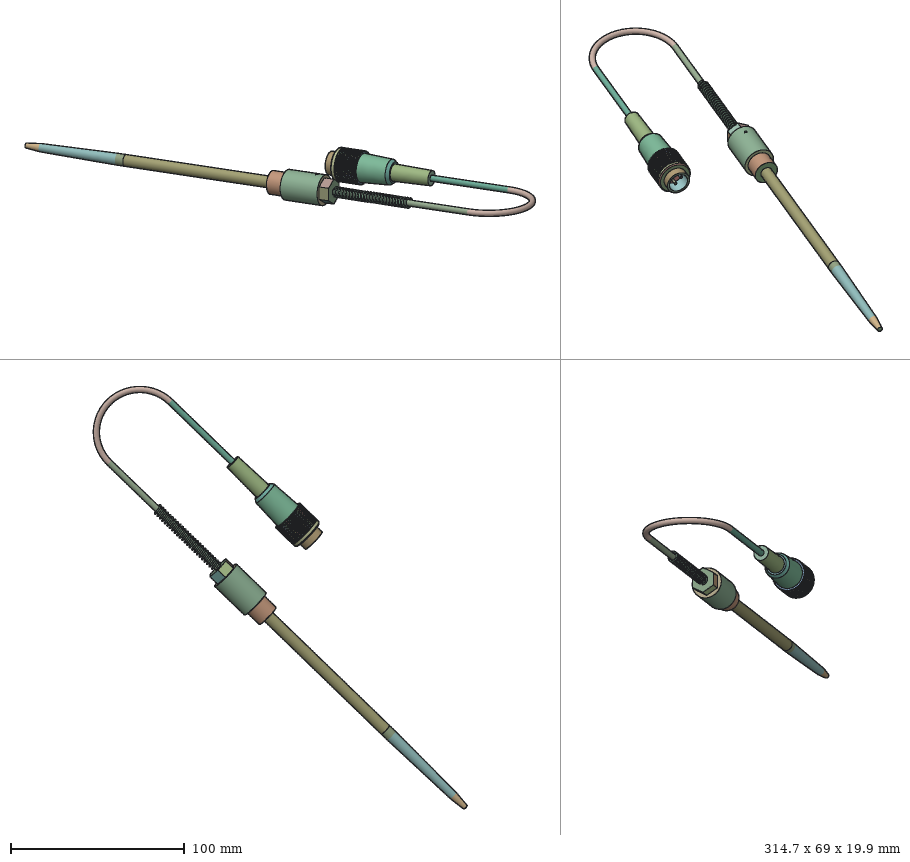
import cadquery as cq
import math


shaft_dia = 7.0
tip_end_dia = 3.0
tip_step_dia = 5.0
dome_height = 0.4
tip_step_x = 10.0
taper_end_x = 60.0
shaft_start_x = 65.0

handle_start_x = 160.0
handle_shoulder_x = 170.0
handle_end_x = 194.0
handle_nose_dia = 14.0
handle_dia = 18.0
shaft_socket_depth = handle_shoulder_x - handle_start_x
set_hole_dia = 1.5
set_hole_depth = 2.0
set_hole_x = 189.0
gland_end_x = 200.2
gland_across_flats = 13.0

spring_dia = 6.3
wire_dia = 1.0
spring_length = 50.0
spring_pitch = 2.0

cable_dia = 3.7
bend_radius = 25.0
overall_length = 314.66
bend_start_x = overall_length - bend_radius - cable_dia / 2
plug_axis_y = 2 * bend_radius

plug_start_x = 172.0
plug_nose_dia = 14.0
plug_bore_dia = 11.4
plug_bore_depth = 8.0
plug_rear_dia = 17.1
plug_taper_dia = 15.2
plug_taper_end_x = 211.3
plug_end_x = 213.3
plug_end_dia = 12.4
contact_count = 4
contact_dia = 1.5
contact_circle_dia = 7.0
contact_length = 4.0

ring_start_x = 176.8
ring_chamfer = 0.7
ring_end_x = 193.0
ring_dia = 19.9
ring_face_dia = ring_dia - 2 * ring_chamfer
knurl_start_x = 179.4
knurl_count = 60
knurl_depth = 0.4

boot_end_x = 237.5
boot_start_dia = 10.2
boot_end_dia = 9.0


def turned(profile, axis_y=0.0):
    """Solid turned about an axis parallel to X, from a list of (x, diameter) stations."""
    outline = [(profile[0][0], 0.0)]
    outline += [(x, dia / 2) for x, dia in profile]
    outline += [(profile[-1][0], 0.0)]
    body = cq.Workplane("XY").polyline(outline).close().revolve(360, (0, 0, 0), (1, 0, 0))
    return body.translate((0, axis_y, 0))


def rod(start_x, end_x, dia, axis_y=0.0):
    """Plain cylinder along X."""
    return turned([(start_x, dia), (end_x, dia)], axis_y)


def make_tip():
    """Slender tapered tip with a shallow domed end."""
    dome_radius = ((tip_end_dia / 2) ** 2 + dome_height**2) / (2 * dome_height)
    half_angle = math.asin(tip_end_dia / 2 / dome_radius) / 2
    dome_mid = (dome_radius * (1 - math.cos(half_angle)), dome_radius * math.sin(half_angle))
    return (
        cq.Workplane("XY")
        .moveTo(0, 0)
        .threePointArc(dome_mid, (dome_height, tip_end_dia / 2))
        .lineTo(tip_step_x, tip_step_dia / 2)
        .lineTo(taper_end_x, shaft_dia / 2)
        .lineTo(shaft_start_x, shaft_dia / 2)
        .lineTo(shaft_start_x, 0)
        .close()
        .revolve(360, (0, 0, 0), (1, 0, 0))
    )


def make_shaft():
    """Straight probe shaft, seated in the handle socket."""
    return rod(shaft_start_x, handle_start_x + shaft_socket_depth, shaft_dia)


def make_handle():
    """Stepped handle with a socket for the shaft and a small radial hole on top."""
    handle = turned([
        (handle_start_x, handle_nose_dia),
        (handle_shoulder_x, handle_nose_dia),
        (handle_shoulder_x, handle_dia),
        (handle_end_x, handle_dia),
    ])
    socket = rod(handle_start_x, handle_start_x + shaft_socket_depth, shaft_dia)
    set_hole = (
        cq.Workplane("XY", origin=(set_hole_x, 0, handle_dia / 2 - set_hole_depth))
        .circle(set_hole_dia / 2)
        .extrude(set_hole_depth)
    )
    return handle.cut(socket).cut(set_hole)


def make_gland():
    """Hex gland with corners at top and bottom, bored for the cable."""
    corner_dia = gland_across_flats / math.cos(math.pi / 6)
    gland = (
        cq.Workplane("YZ", origin=(handle_end_x, 0, 0))
        .transformed(rotate=(0, 0, 90))
        .polygon(6, corner_dia)
        .extrude(gland_end_x - handle_end_x)
    )
    return gland.cut(rod(handle_end_x, gland_end_x, cable_dia))


def make_spring():
    """Open coil spring around the cable, from the gland face."""
    coil_radius = (spring_dia - wire_dia) / 2
    coil_length = spring_length - wire_dia
    path = cq.Workplane("XY").add(cq.Wire.makeHelix(spring_pitch, coil_length, coil_radius))
    wire_section = cq.Plane(origin=(coil_radius, 0, 0), xDir=(-1, 0, 0), normal=(0, 1, 0))
    coil = cq.Workplane(wire_section).circle(wire_dia / 2).sweep(path, isFrenet=True)
    return coil.rotate((0, 0, 0), (0, 1, 0), 90).translate((gland_end_x + wire_dia / 2, 0, 0))


def make_cable():
    """Cable from the gland, round a half circle and back into the plug boot."""
    path = (
        cq.Workplane("XY")
        .moveTo(handle_end_x, 0)
        .lineTo(bend_start_x, 0)
        .threePointArc((bend_start_x + bend_radius, bend_radius), (bend_start_x, plug_axis_y))
        .lineTo(plug_end_x, plug_axis_y)
    )
    return cq.Workplane("YZ", origin=(handle_end_x, 0, 0)).circle(cable_dia / 2).sweep(path)


def make_plug_body():
    """Plug body with a bored nose, contacts in the bore and a tapered rear."""
    body = turned([
        (plug_start_x, plug_nose_dia),
        (ring_end_x, plug_nose_dia),
        (ring_end_x, plug_rear_dia),
        (plug_taper_end_x, plug_taper_dia),
        (plug_end_x, plug_end_dia),
    ], plug_axis_y)
    bore_floor_x = plug_start_x + plug_bore_depth
    body = body.cut(rod(plug_start_x, bore_floor_x, plug_bore_dia, plug_axis_y))
    contacts = (
        cq.Workplane("YZ", origin=(bore_floor_x, plug_axis_y, 0))
        .polarArray(contact_circle_dia / 2, 0, 360, contact_count)
        .circle(contact_dia / 2)
        .extrude(-contact_length)
    )
    return body.union(contacts)


def make_coupling_ring():
    """Chamfered coupling ring with straight V-groove knurling."""
    ring = turned([
        (ring_start_x, ring_face_dia),
        (ring_start_x + ring_chamfer, ring_dia),
        (ring_end_x, ring_dia),
    ], plug_axis_y)
    ring = ring.cut(rod(ring_start_x, ring_end_x, plug_nose_dia, plug_axis_y))
    outer_radius = ring_dia / 2
    root_radius = outer_radius - knurl_depth
    half_pitch = math.pi / knurl_count
    ridge_outline = []
    for i in range(knurl_count):
        angle = 2 * math.pi * i / knurl_count
        ridge_outline.append((outer_radius * math.cos(angle), outer_radius * math.sin(angle)))
        angle += half_pitch
        ridge_outline.append((root_radius * math.cos(angle), root_radius * math.sin(angle)))
    grooves = (
        cq.Workplane("YZ", origin=(knurl_start_x, plug_axis_y, 0))
        .circle(outer_radius + knurl_depth)
        .polyline(ridge_outline)
        .close()
        .extrude(ring_end_x - knurl_start_x)
    )
    return ring.cut(grooves)


def make_boot():
    """Tapered boot, bored for the cable."""
    boot = turned([(plug_end_x, boot_start_dia), (boot_end_x, boot_end_dia)], plug_axis_y)
    return boot.cut(rod(plug_end_x, boot_end_x, cable_dia, plug_axis_y))


tip = make_tip()
shaft = make_shaft()
handle = make_handle()
gland = make_gland()
spring = make_spring()
cable = make_cable()
plug_body = make_plug_body()
coupling_ring = make_coupling_ring()
boot = make_boot()

result = cq.Compound.makeCompound([
    tip.val(),
    shaft.val(),
    handle.val(),
    gland.val(),
    spring.val(),
    cable.val(),
    plug_body.val(),
    coupling_ring.val(),
    boot.val(),
])